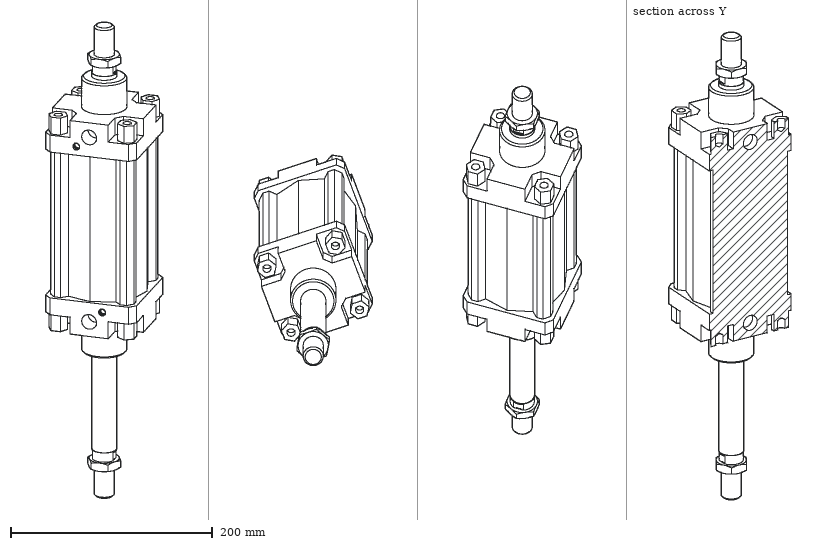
import cadquery as cq
import math


ROD_LENGTH = 500.0
BODY_CENTER_Z = 50.0
TUBE_LENGTH = 155.0
HEAD_HEIGHT = 36.0
COLLAR_HEIGHT = 32.5

HEAD_WIDTH = 95.0
HEAD_CORNER_CHAMFER = 6.5
NOTCH_DEPTH = HEAD_HEIGHT / 2
NOTCH_WALL = 20.0
NOTCH_CHAMFER = 7.0
COLLAR_DIAMETER = 45.0
COLLAR_CHAMFER = 2.0

BOLT_OFFSET = 36.0
BOLT_ACROSS_FLATS = 17.0
BOLT_HOLE_DIAMETER = 8.0
BOLT_HOLE_DEPTH = 10.0
DRILL_TIP_ANGLE = 118.0

PORT_DIAMETER = 15.5
PORT_INSET = 15.5
PORT_DEPTH = 20.0
SCREW_DIAMETER = 7.0
SCREW_INSET = 27.0
SCREW_SHIFT = 13.5
SCREW_DEPTH = 2.5
SCREW_PILOT_DIAMETER = 6.0
SCREW_PILOT_DEPTH = 5.0

TUBE_WIDTH = 87.0
TUBE_CORNER_CHAMFER = 6.0
RIB_INNER = 31.0
VALLEY_HALF = 25.0
VALLEY_HEIGHT = 37.5
RIDGE_HEIGHT = 44.5

ROD_DIAMETER = 25.0
NECK_DIAMETER = 24.0
NECK_ACROSS_FLATS = 21.5
THREAD_DIAMETER = 20.0
THREAD_CHAMFER = 2.0
SHOULDER_Z = 200.0
FLAT_START_Z = 201.5

NUT_ACROSS_FLATS = 30.0
NUT_THICKNESS = 9.0
NUT_START_Z = 210.0
NUT_CHAMFER_ANGLE = 30.0

TUBE_HALF = TUBE_LENGTH / 2
BODY_HALF = TUBE_HALF + HEAD_HEIGHT
COLLAR_END = BODY_HALF + COLLAR_HEIGHT
ROD_END = ROD_LENGTH / 2
HALF_WIDTH = HEAD_WIDTH / 2


def hexagon_size(across_flats):
    """Distance across the corners of a hexagon."""
    return across_flats / math.cos(math.radians(30))


def mirrored(shape):
    """The shape turned over about the XY plane."""
    return shape.mirror("XY")


def make_tube():
    """Square tube with chamfered corner ribs and a shallow ridge along each side."""
    half = TUBE_WIDTH / 2
    corner = half - TUBE_CORNER_CHAMFER
    side = [
        (-corner, -half),
        (-RIB_INNER, -half),
        (-VALLEY_HALF, -VALLEY_HEIGHT),
        (0, -RIDGE_HEIGHT),
        (VALLEY_HALF, -VALLEY_HEIGHT),
        (RIB_INNER, -half),
        (corner, -half),
    ]
    outline = []
    for quarter in range(4):
        for x, y in side:
            for _ in range(quarter):
                x, y = -y, x
            outline.append((x, y))
    return cq.Workplane("XY").workplane(offset=-TUBE_HALF).polyline(outline).close().extrude(TUBE_LENGTH)


def make_corner_notch():
    """Cutter for the notch at the +X +Y corner of a head."""
    size = HALF_WIDTH - NOTCH_WALL
    middle = NOTCH_WALL + size / 2
    inner_edge = cq.selectors.NearestToPointSelector((NOTCH_WALL, NOTCH_WALL, BODY_HALF - NOTCH_DEPTH / 2))
    return (
        cq.Workplane("XY")
        .workplane(offset=BODY_HALF - NOTCH_DEPTH)
        .center(middle, middle)
        .rect(size, size)
        .extrude(NOTCH_DEPTH)
        .edges(inner_edge)
        .chamfer(NOTCH_CHAMFER)
    )


def make_bolt_head():
    """Hexagonal bolt head at the +X +Y corner, with a drilled hole that ends in a cone."""
    hexagon = (
        cq.Workplane("XY")
        .workplane(offset=BODY_HALF - NOTCH_DEPTH)
        .center(BOLT_OFFSET, BOLT_OFFSET)
        .polygon(6, hexagon_size(BOLT_ACROSS_FLATS))
        .extrude(NOTCH_DEPTH)
    )
    radius = BOLT_HOLE_DIAMETER / 2
    tip_height = radius / math.tan(math.radians(DRILL_TIP_ANGLE / 2))
    drill = (
        cq.Workplane("XZ")
        .polyline([
            (0, 0),
            (radius, 0),
            (radius, -BOLT_HOLE_DEPTH),
            (0, -BOLT_HOLE_DEPTH - tip_height),
        ])
        .close()
        .revolve(360, (0, 0, 0), (0, 1, 0))
        .translate((BOLT_OFFSET, BOLT_OFFSET, BODY_HALF))
    )
    return hexagon.cut(drill)


def front_hole(x, z, diameter, depth):
    """Cutter for a blind round hole in the -Y side of a head."""
    return (
        cq.Workplane("XZ", origin=(x, -HALF_WIDTH, z))
        .circle(diameter / 2)
        .extrude(-depth)
    )


def make_head(screw_x):
    """End head, on the +Z end of the tube, with its collar, notches, bolts and holes."""
    head = (
        cq.Workplane("XY")
        .workplane(offset=TUBE_HALF)
        .rect(HEAD_WIDTH, HEAD_WIDTH)
        .extrude(HEAD_HEIGHT)
        .edges("|Z")
        .chamfer(HEAD_CORNER_CHAMFER)
    )
    collar = (
        cq.Workplane("XY")
        .workplane(offset=BODY_HALF)
        .circle(COLLAR_DIAMETER / 2)
        .extrude(COLLAR_HEIGHT)
        .faces(">Z")
        .chamfer(COLLAR_CHAMFER)
    )
    head = head.union(collar)
    notch = make_corner_notch()
    bolt_head = make_bolt_head()
    for quarter in range(4):
        angle = 90 * quarter
        head = head.cut(notch.rotate((0, 0, 0), (0, 0, 1), angle))
        head = head.union(bolt_head.rotate((0, 0, 0), (0, 0, 1), angle))
    screw_z = BODY_HALF - SCREW_INSET
    port = front_hole(0, BODY_HALF - PORT_INSET, PORT_DIAMETER, PORT_DEPTH)
    screw_hole = front_hole(screw_x, screw_z, SCREW_DIAMETER, SCREW_DEPTH)
    screw_pilot = front_hole(screw_x, screw_z, SCREW_PILOT_DIAMETER, SCREW_PILOT_DEPTH)
    return head.cut(port).cut(screw_hole).cut(screw_pilot)


def make_cylinder_body():
    """Tube and both heads in one piece, bored through for the rod."""
    body = make_tube()
    body = body.union(make_head(-SCREW_SHIFT))
    body = body.union(mirrored(make_head(SCREW_SHIFT)))
    bore = (
        cq.Workplane("XY")
        .workplane(offset=-COLLAR_END)
        .circle(ROD_DIAMETER / 2)
        .extrude(2 * COLLAR_END)
    )
    return body.cut(bore).translate((0, 0, BODY_CENTER_Z))


def make_flats_cutter():
    """Cutter that leaves two parallel flats on the neck at the +Z end of the rod."""
    height = NUT_START_Z - FLAT_START_Z
    block = cq.Workplane("XY").workplane(offset=FLAT_START_Z).rect(ROD_DIAMETER, ROD_DIAMETER).extrude(height)
    core = (
        cq.Workplane("XY")
        .workplane(offset=FLAT_START_Z)
        .rect(NECK_ACROSS_FLATS, ROD_DIAMETER)
        .extrude(height)
    )
    return block.cut(core)


def make_rod():
    """Double-ended piston rod with a flatted neck and a thread at each end."""
    rod_radius = ROD_DIAMETER / 2
    neck_radius = NECK_DIAMETER / 2
    thread_radius = THREAD_DIAMETER / 2
    upper_half = [
        (rod_radius, SHOULDER_Z),
        (neck_radius, SHOULDER_Z),
        (neck_radius, NUT_START_Z),
        (thread_radius, NUT_START_Z),
        (thread_radius, ROD_END - THREAD_CHAMFER),
        (thread_radius - THREAD_CHAMFER, ROD_END),
        (0, ROD_END),
    ]
    lower_half = [(radius, -z) for radius, z in upper_half]
    profile = [(-radius, z) for radius, z in upper_half + lower_half[::-1]]
    rod = cq.Workplane("XZ").polyline(profile).close().revolve(360, (0, 0, 0), (0, 1, 0))
    flats = make_flats_cutter()
    return rod.cut(flats).cut(mirrored(flats))


def make_nut():
    """Hexagonal nut, seated against the neck at the +Z end, with both rims bevelled."""
    half_flats = NUT_ACROSS_FLATS / 2
    half_corners = hexagon_size(NUT_ACROSS_FLATS) / 2
    bevel = (half_corners - half_flats) * math.tan(math.radians(NUT_CHAMFER_ANGLE))
    envelope = (
        cq.Workplane("XZ")
        .polyline([
            (0, 0),
            (half_flats, 0),
            (half_corners, bevel),
            (half_corners, NUT_THICKNESS - bevel),
            (half_flats, NUT_THICKNESS),
            (0, NUT_THICKNESS),
        ])
        .close()
        .revolve(360, (0, 0, 0), (0, 1, 0))
    )
    return (
        cq.Workplane("XY")
        .polygon(6, 2 * half_corners)
        .extrude(NUT_THICKNESS)
        .intersect(envelope)
        .faces(">Z")
        .workplane()
        .hole(THREAD_DIAMETER)
        .translate((0, 0, NUT_START_Z))
    )


cylinder_body = make_cylinder_body()
rod = make_rod()
upper_nut = make_nut()
nuts = [upper_nut, mirrored(upper_nut)]

result = cq.Compound.makeCompound([
    cylinder_body.val(),
    rod.val(),
    *[nut.val() for nut in nuts],
])